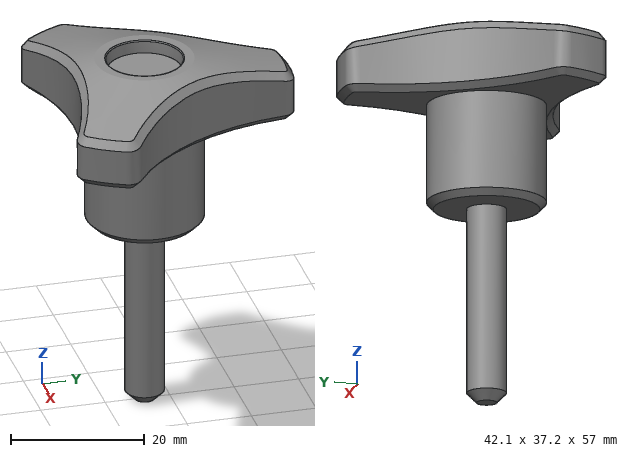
import cadquery as cq
import math

total_height = 57.0
head_height = 11.0
hub_height = 16.0
head_bottom = total_height - head_height
hub_bottom = head_bottom - hub_height

arm_count = 3
arm_pitch = 360.0 / arm_count
arm_reach = 22.5
waist_radius = 11.0
hollow_radius = 35.0
corner_radius = 2.0
edge_chamfer = 1.0
crown_radius = 7.5
crown_slope = 13.0

hub_radius = 18.0 / 2
hub_chamfer = 1.0
stud_radius = 6.0 / 2
stud_chamfer = 1.5

recess_radius = 6.0
recess_wall_radius = 5.8
recess_floor_radius = 5.65
recess_depth = 2.0
rim_chamfer = recess_radius - recess_wall_radius


def make_head_blank():
    """Turned blank with a flat crown and a conical slope to its rim."""
    slope_drop = (arm_reach - crown_radius) * math.tan(math.radians(crown_slope))
    profile = (
        cq.Workplane("XZ")
        .moveTo(0, head_bottom)
        .lineTo(arm_reach, head_bottom)
        .lineTo(arm_reach, total_height - slope_drop)
        .lineTo(crown_radius, total_height)
        .lineTo(0, total_height)
        .close()
    )
    return profile.revolve(360, (0, 0, 0), (0, 1, 0))


def make_head():
    """Head with hollow sides between the arms and chamfered outlines."""
    head = make_head_blank()
    hollow_center = waist_radius + hollow_radius
    for arm in range(arm_count):
        angle = math.radians(-90 + arm * arm_pitch)
        hollow = (
            cq.Workplane("XY", origin=(0, 0, head_bottom))
            .center(hollow_center * math.cos(angle), hollow_center * math.sin(angle))
            .circle(hollow_radius)
            .extrude(head_height)
        )
        head = head.cut(hollow)
    head = head.edges("|Z").fillet(corner_radius)
    head = head.faces("<Z").chamfer(edge_chamfer)
    rim_box = cq.selectors.BoxSelector(
        (-arm_reach, -arm_reach, head_bottom + head_height / 2),
        (arm_reach, arm_reach, total_height - edge_chamfer / 4),
    )
    return head.edges(rim_box).edges("not |Z").chamfer(edge_chamfer)


def make_hub():
    """Cylindrical hub, chamfered at its lower end."""
    hub = cq.Workplane("XY", origin=(0, 0, hub_bottom)).circle(hub_radius).extrude(hub_height)
    return hub.faces("<Z").chamfer(hub_chamfer)


def make_stud():
    """Plain stud with a chamfered tip."""
    stud = cq.Workplane("XY").circle(stud_radius).extrude(hub_bottom)
    return stud.faces("<Z").chamfer(stud_chamfer)


def make_recess():
    """Tapered cap recess with a small chamfer around its rim."""
    profile = (
        cq.Workplane("XZ")
        .moveTo(0, total_height - recess_depth)
        .lineTo(recess_floor_radius, total_height - recess_depth)
        .lineTo(recess_wall_radius, total_height - rim_chamfer)
        .lineTo(recess_radius, total_height)
        .lineTo(0, total_height)
        .close()
    )
    return profile.revolve(360, (0, 0, 0), (0, 1, 0))


result = make_head().union(make_hub()).union(make_stud()).cut(make_recess())